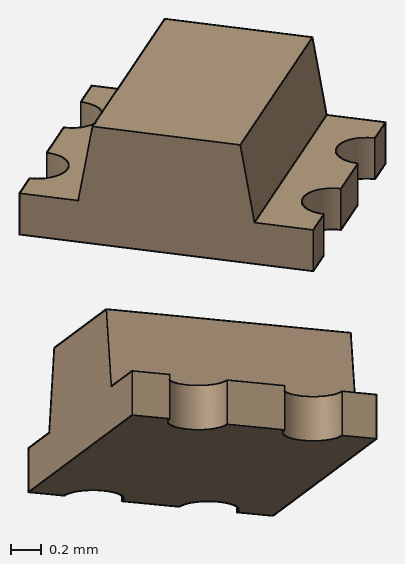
import cadquery as cq
import math

length = 2.0
width = 1.7
base_height = 0.3

total_height = 0.85
body_bottom_length = 1.2
draft_angle = 10.0
body_height = total_height - base_height
body_top_length = body_bottom_length - 2 * body_height * math.tan(math.radians(draft_angle))

notch_radius = 0.2
notch_pitch = 0.8
left_notch_shift = -0.01
right_notch_shift = 0.0


def make_base():
    return cq.Workplane("XY").box(length, width, base_height, centered=(True, True, False))


def make_body():
    profile = [
        (-body_bottom_length / 2, base_height),
        (body_bottom_length / 2, base_height),
        (body_top_length / 2, total_height),
        (-body_top_length / 2, total_height),
    ]
    return cq.Workplane("XZ").polyline(profile).close().extrude(width / 2, both=True)


def make_notches(end_x, shift):
    centers = [(end_x, shift + side * notch_pitch / 2) for side in (-1, 1)]
    return cq.Workplane("XY").pushPoints(centers).circle(notch_radius).extrude(base_height)


result = (
    make_base()
    .cut(make_notches(-length / 2, left_notch_shift))
    .cut(make_notches(length / 2, right_notch_shift))
    .union(make_body())
)